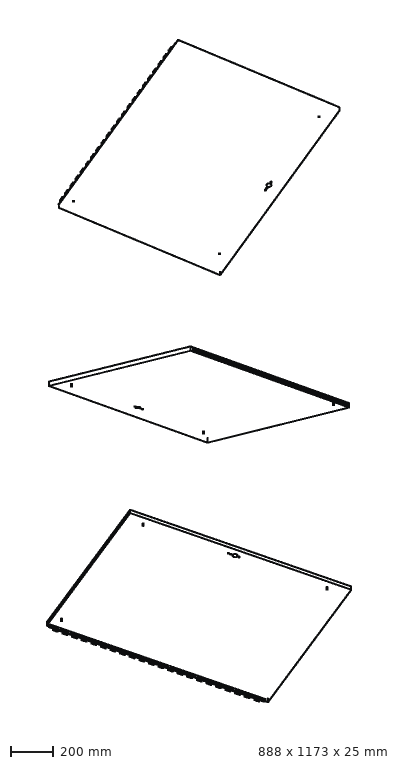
import cadquery as cq


overall_width = 888.0
overall_depth = 25.0

door_width = 873.0
door_length = 1173
knuckle_drop = 1.8
door_depth = overall_depth - knuckle_drop
sheet = 1.4
bend_radius = 2.6

lock_x = 813.0
lock_diameter = 22.0
screw_hole_diameter = 6.3
screw_hole_places = [21.0, -22.0, -35]

hinge_segment_count = 45
hinge_length = 1143.0
hinge_segment = hinge_length / hinge_segment_count
hinge_sheet = 1.0
hinge_reach = overall_width - door_width
leaf_height = 16.0
knuckle_diameter = 6.3
knuckle_bore = knuckle_diameter - 2 * hinge_sheet
knuckle_x = knuckle_diameter / 2 - hinge_reach
knuckle_z = knuckle_diameter / 2 - knuckle_drop
strap_inset = 7.0
strap_edge_x = strap_inset - hinge_reach
strap_top = knuckle_diameter - knuckle_drop
strap_bottom = strap_top - hinge_sheet

stud_diameter = 7.2
stud_length = 12
ground_stud_place = (53.0, -534.0)
latch_stud_x = 814.0
latch_stud_y = 487.0


def box_between(low, high):
    size = [b - a for a, b in zip(low, high)]
    return cq.Workplane("XY").box(*size, centered=False).translate(low)


def make_pan():
    pan = cq.Workplane("XY").box(door_width, door_length, door_depth, centered=(False, True, False))
    pan = pan.faces(">Z").edges().fillet(bend_radius)
    pan = pan.faces("<Z").shell(-sheet)
    corners = [(x, y) for x in (0, door_width) for y in (-door_length / 2, door_length / 2)]
    notch_size = 2 * bend_radius
    notches = cq.Workplane("XY").pushPoints(corners).rect(notch_size, notch_size).extrude(door_depth)
    return pan.cut(notches)


def make_door():
    lock_hole = cq.Workplane("XY").center(lock_x, 0).circle(lock_diameter / 2).extrude(door_depth)
    screw_holes = (
        cq.Workplane("XY")
        .pushPoints([(lock_x, y) for y in screw_hole_places])
        .circle(screw_hole_diameter / 2)
        .extrude(door_depth)
    )
    return make_pan().cut(lock_hole).cut(screw_holes)


def make_knuckle(start):
    """A tube along Y, joined to the strap by a tab level with the top of the tube."""
    end = start + hinge_segment
    tab = box_between((knuckle_x, start, strap_bottom), (strap_edge_x, end, strap_top))
    axis = cq.Workplane("XZ", origin=(knuckle_x, start, knuckle_z))
    barrel = axis.circle(knuckle_diameter / 2).extrude(-hinge_segment)
    bore = axis.circle(knuckle_bore / 2).extrude(-hinge_segment)
    return tab.union(barrel).cut(bore)


def make_hinge():
    half = hinge_length / 2
    leaf = box_between((-hinge_sheet, -half, strap_bottom), (0, half, leaf_height))
    strap = box_between((strap_edge_x, -half, strap_bottom), (0, half, strap_top))
    hinge = leaf.union(strap)
    for segment in range(1, hinge_segment_count, 2):
        hinge = hinge.union(make_knuckle(segment * hinge_segment - half))
    return hinge


def make_stud(x, y):
    skin_underside = cq.Workplane("XY", origin=(x, y, door_depth - sheet))
    return skin_underside.circle(stud_diameter / 2).extrude(-stud_length)


door = make_door()
hinge = make_hinge()
stud_places = [ground_stud_place, (latch_stud_x, latch_stud_y), (latch_stud_x, -latch_stud_y)]
studs = [make_stud(x, y).val() for x, y in stud_places]

result = cq.Compound.makeCompound([door.solids().val(), hinge.solids().val(), *studs])